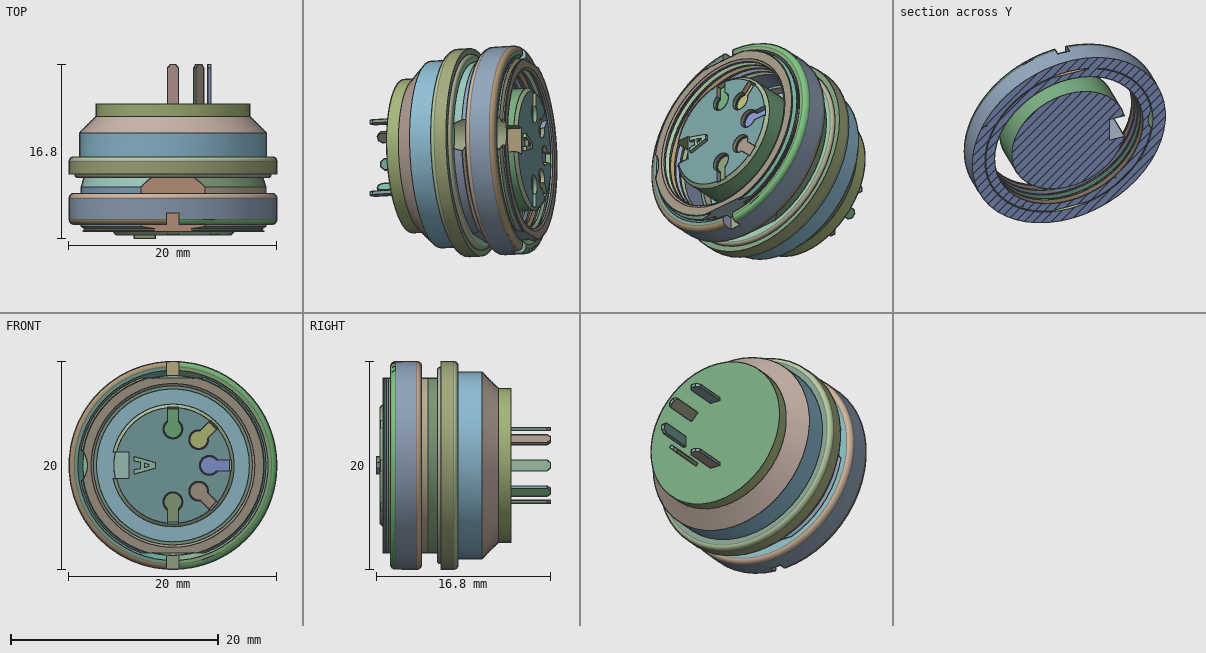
import cadquery as cq
import math


LETTER_FRONT_Y = -0.65
INSERT_FRONT_Y = -0.33
NUT_FRONT_Y = 0.7
NUT_REAR_Y = 3.7
RELIEF_START_Y = 4.3
LIP_FRONT_Y = 5.2
FLANGE_FRONT_Y = 5.55
FLANGE_REAR_Y = 7.2
CONE_START_Y = 9.5
CONE_END_Y = 11.1
BODY_REAR_Y = 12.3
PIN_TIP_Y = 16.1

FLANGE_RADIUS = 20.0 / 2
LIP_RADIUS = 18.9 / 2
BODY_RADIUS = 18.0 / 2
REAR_RADIUS = 14.8 / 2
RELIEF_RADIUS = 8.65
FLANGE_FILLET = 0.45
LIP_FILLET = 0.32

THREAD_RADIUS = 17.9 / 2
THREAD_PITCH = 0.75
THREAD_DEPTH = 0.36
THREAD_ROOT_WIDTH = 0.15
THREAD_MOUTH_WIDTH = 0.56
FIRST_GROOVE_Y = 0.23
OUTER_GROOVES = 5
FRONT_CHAMFER = 0.22
FLAT_HALF_HEIGHT = 8.4
KEY_GROOVE_RADIUS = 2.25
KEY_GROOVE_BOTTOM = 8.22

BORE_RADIUS = 15.3 / 2
FLOOR_BORE_RADIUS = 14.7 / 2
BORE_SHOULDER_Y = 5.5
FLOOR_Y = 6.5
FIRST_BORE_GROOVE_Y = -0.15
BORE_GROOVES = 5

INSERT_RADIUS = 11.8 / 2
INSERT_CHAMFER = 0.33
NECK_RADIUS = 5.68
KEYWAY_FLOOR_Y = 5.5
KEYWAY_WIDTH = 2.56
KEYWAY_BOTTOM_X = -4.22

CONTACT_ANGLES = (-90, -45, 0, 45, 90)
CONTACT_CIRCLE_RADIUS = 3.5
HOLE_RADIUS = 0.85
HOLE_STEP_RADIUS = 0.95
HOLE_STEP_DEPTH = 0.4
CONTACT_DEPTH = 0.5
SLOT_WIDTH = 1.04
SLOT_MOUTH_RADIUS = 5.65
SLOT_FLOOR_RADIUS = 5.42
PIN_WIDTH = 1.08
PIN_THICKNESS = 0.32
PIN_TIP_SIDE = 0.3
PIN_TIP_LENGTH = 0.35

NUT_RADIUS = 20.0 / 2
NUT_BORE_RADIUS = 8.65
NUT_MOUTH_RADIUS = 18.3 / 2
NUT_FILLET = 0.5
NUT_SLOT_WIDTH = 1.2
NUT_SLOT_DEPTH = 1.1

LETTER_FOOT = (-3.74, 0.85)
LETTER_TOP = (-1.69, 0.27)
LETTER_FOOT_INNER = (-3.74, 0.42)
LETTER_BAR = (-3.1, 0.3)
LETTER_COUNTER_BASE = (-2.75, 0.22)
LETTER_COUNTER_TOP = (-2.3, 0.08)


def revolve_about_axis(outline):
    """Turn a closed (radius, y) outline in the XY plane into a solid about the Y axis."""
    return outline.close().revolve(360, (0, 0, 0), (0, 1, 0))


def cylinder(radius, y_start, y_end, x=0.0, z=0.0):
    """Cylinder parallel to the Y axis."""
    plane = cq.Plane(origin=(x, y_start, z), xDir=(1, 0, 0), normal=(0, 1, 0))
    return cq.Workplane(plane).circle(radius).extrude(y_end - y_start)


def block(x_range, y_range, z_range):
    """Box given by its limits along each axis."""
    size = [high - low for low, high in (x_range, y_range, z_range)]
    corner = (x_range[0], y_range[0], z_range[0])
    return cq.Workplane("XY").box(*size, centered=False).translate(corner)


def thread_groove(y, surface_radius, depth):
    """Ring-shaped thread groove centred at y; a negative depth points toward the axis."""
    half_root = THREAD_ROOT_WIDTH / 2
    half_mouth = THREAD_MOUTH_WIDTH / 2
    return revolve_about_axis(
        cq.Workplane("XY")
        .moveTo(surface_radius, y - half_mouth)
        .lineTo(surface_radius + depth, y - half_root)
        .lineTo(surface_radius + depth, y + half_root)
        .lineTo(surface_radius, y + half_mouth)
    )


def make_sleeve():
    """Threaded front sleeve with two wrench flats and one round keying groove.

    The last thread groove runs only over the -X, -Z quarter.
    """
    sleeve = revolve_about_axis(
        cq.Workplane("XY")
        .moveTo(0, 0)
        .lineTo(THREAD_RADIUS - FRONT_CHAMFER, 0)
        .lineTo(THREAD_RADIUS, FRONT_CHAMFER)
        .lineTo(THREAD_RADIUS, RELIEF_START_Y)
        .lineTo(RELIEF_RADIUS, LIP_FRONT_Y)
        .lineTo(0, LIP_FRONT_Y)
    )
    for index in range(OUTER_GROOVES):
        groove_y = FIRST_GROOVE_Y + index * THREAD_PITCH
        sleeve = sleeve.cut(thread_groove(groove_y, THREAD_RADIUS, -THREAD_DEPTH))
    runout_y = FIRST_GROOVE_Y + OUTER_GROOVES * THREAD_PITCH
    runout_quarter = block((-FLANGE_RADIUS, 0), (0, LIP_FRONT_Y), (-FLANGE_RADIUS, 0))
    runout = thread_groove(runout_y, THREAD_RADIUS, -THREAD_DEPTH).intersect(runout_quarter)
    sleeve = sleeve.cut(runout)
    between_flats = block(
        (-BODY_RADIUS, BODY_RADIUS), (0, LIP_FRONT_Y), (-FLAT_HALF_HEIGHT, FLAT_HALF_HEIGHT)
    )
    groove_x = -(KEY_GROOVE_BOTTOM + KEY_GROOVE_RADIUS)
    key_groove = cylinder(KEY_GROOVE_RADIUS, 0, LIP_FRONT_Y, x=groove_x)
    return sleeve.intersect(between_flats).cut(key_groove)


def make_rear_body():
    """Flange with its front sealing lip, main body, cone and rear collar."""
    corner = 1 - math.sqrt(0.5)
    lip_inner = LIP_RADIUS - LIP_FILLET
    flange_inner = FLANGE_RADIUS - FLANGE_FILLET
    lip_mid = (LIP_RADIUS - corner * LIP_FILLET, LIP_FRONT_Y + corner * LIP_FILLET)
    flange_mid = (FLANGE_RADIUS - corner * FLANGE_FILLET, FLANGE_REAR_Y - corner * FLANGE_FILLET)
    return revolve_about_axis(
        cq.Workplane("XY")
        .moveTo(0, LIP_FRONT_Y)
        .lineTo(lip_inner, LIP_FRONT_Y)
        .threePointArc(lip_mid, (LIP_RADIUS, LIP_FRONT_Y + LIP_FILLET))
        .lineTo(LIP_RADIUS, FLANGE_FRONT_Y)
        .lineTo(FLANGE_RADIUS, FLANGE_FRONT_Y)
        .lineTo(FLANGE_RADIUS, FLANGE_REAR_Y - FLANGE_FILLET)
        .threePointArc(flange_mid, (flange_inner, FLANGE_REAR_Y))
        .lineTo(BODY_RADIUS, FLANGE_REAR_Y)
        .lineTo(BODY_RADIUS, CONE_START_Y)
        .lineTo(REAR_RADIUS, CONE_END_Y)
        .lineTo(REAR_RADIUS, BODY_REAR_Y)
        .lineTo(0, BODY_REAR_Y)
    )


def make_cavity():
    """Space inside the sleeve: internally threaded bore, then a shorter plain bore."""
    cavity = cylinder(BORE_RADIUS, 0, BORE_SHOULDER_Y)
    cavity = cavity.union(cylinder(FLOOR_BORE_RADIUS, BORE_SHOULDER_Y, FLOOR_Y))
    for index in range(BORE_GROOVES):
        groove_y = FIRST_BORE_GROOVE_Y + index * THREAD_PITCH
        cavity = cavity.union(thread_groove(groove_y, BORE_RADIUS, THREAD_DEPTH))
    return cavity


def make_insert():
    """Contact carrier with a chamfered face, a keyway and a narrower neck at its foot."""
    insert = cylinder(INSERT_RADIUS, INSERT_FRONT_Y, KEYWAY_FLOOR_Y)
    insert = insert.faces("<Y").chamfer(INSERT_CHAMFER)
    keyway = block(
        (-INSERT_RADIUS, KEYWAY_BOTTOM_X),
        (INSERT_FRONT_Y, KEYWAY_FLOOR_Y),
        (-KEYWAY_WIDTH / 2, KEYWAY_WIDTH / 2),
    )
    neck = cylinder(NECK_RADIUS, KEYWAY_FLOOR_Y, FLOOR_Y)
    return insert.cut(keyway).union(neck)


def make_contact_opening():
    """Stepped hole on +X with a radial slot whose outer end slopes outward to the face."""
    floor_y = INSERT_FRONT_Y + CONTACT_DEPTH
    step_y = INSERT_FRONT_Y + HOLE_STEP_DEPTH
    hole = cylinder(HOLE_RADIUS, INSERT_FRONT_Y, floor_y, x=CONTACT_CIRCLE_RADIUS)
    step = cylinder(HOLE_STEP_RADIUS, INSERT_FRONT_Y, step_y, x=CONTACT_CIRCLE_RADIUS)
    slot = (
        cq.Workplane("XY")
        .moveTo(CONTACT_CIRCLE_RADIUS, INSERT_FRONT_Y)
        .lineTo(SLOT_MOUTH_RADIUS, INSERT_FRONT_Y)
        .lineTo(SLOT_FLOOR_RADIUS, floor_y)
        .lineTo(CONTACT_CIRCLE_RADIUS, floor_y)
        .close()
        .extrude(SLOT_WIDTH / 2, both=True)
    )
    return hole.union(step).union(slot)


def make_pin():
    """Flat solder pin on +X, wide along Z, with both tip corners cut off."""
    half_width = PIN_WIDTH / 2
    half_tip = half_width - PIN_TIP_SIDE
    shoulder_y = PIN_TIP_Y - PIN_TIP_LENGTH
    return (
        cq.Workplane("ZY")
        .moveTo(-half_width, BODY_REAR_Y)
        .lineTo(half_width, BODY_REAR_Y)
        .lineTo(half_width, shoulder_y)
        .lineTo(half_tip, PIN_TIP_Y)
        .lineTo(-half_tip, PIN_TIP_Y)
        .lineTo(-half_width, shoulder_y)
        .close()
        .extrude(PIN_THICKNESS / 2, both=True)
        .translate((CONTACT_CIRCLE_RADIUS, 0, 0))
    )


def make_nut():
    """Round nut with rounded edges, a chamfered bore mouth and two driver slots."""
    nut = cylinder(NUT_RADIUS, NUT_FRONT_Y, NUT_REAR_Y).edges().fillet(NUT_FILLET)
    nut = nut.cut(cylinder(NUT_BORE_RADIUS, NUT_FRONT_Y, NUT_REAR_Y))
    mouth_depth = NUT_MOUTH_RADIUS - NUT_BORE_RADIUS
    mouth = revolve_about_axis(
        cq.Workplane("XY")
        .moveTo(0, NUT_FRONT_Y)
        .lineTo(NUT_MOUTH_RADIUS, NUT_FRONT_Y)
        .lineTo(NUT_BORE_RADIUS, NUT_FRONT_Y + mouth_depth)
        .lineTo(0, NUT_FRONT_Y + mouth_depth)
    )
    slots = block(
        (-NUT_SLOT_WIDTH / 2, NUT_SLOT_WIDTH / 2),
        (NUT_FRONT_Y, NUT_FRONT_Y + NUT_SLOT_DEPTH),
        (-NUT_RADIUS, NUT_RADIUS),
    )
    return nut.cut(mouth).cut(slots)


def mirrored(point):
    """Reflect an (x, z) point across the X axis."""
    return (point[0], -point[1])


def make_letter():
    """Raised A, lying with its top toward +X."""
    outline = [LETTER_FOOT, LETTER_TOP, mirrored(LETTER_TOP), mirrored(LETTER_FOOT)]
    outline += [mirrored(LETTER_FOOT_INNER), mirrored(LETTER_BAR), LETTER_BAR, LETTER_FOOT_INNER]
    counter = [LETTER_COUNTER_BASE, LETTER_COUNTER_TOP]
    counter += [mirrored(LETTER_COUNTER_TOP), mirrored(LETTER_COUNTER_BASE)]
    face = cq.Workplane("XZ", origin=(0, INSERT_FRONT_Y, 0))
    sketch = face.polyline(outline).close().polyline(counter).close()
    return sketch.extrude(INSERT_FRONT_Y - LETTER_FRONT_Y)


def at_contact_angle(shape, angle):
    """Swing a shape from +X toward +Z about the connector axis."""
    return shape.rotate((0, 0, 0), (0, 1, 0), -angle)


result = make_rear_body().union(make_sleeve()).union(make_nut())
socket_insert = make_insert()
for contact_angle in CONTACT_ANGLES:
    socket_insert = socket_insert.cut(at_contact_angle(make_contact_opening(), contact_angle))
result = result.cut(make_cavity()).union(socket_insert).union(make_letter())
for contact_angle in CONTACT_ANGLES:
    result = result.union(at_contact_angle(make_pin(), contact_angle))